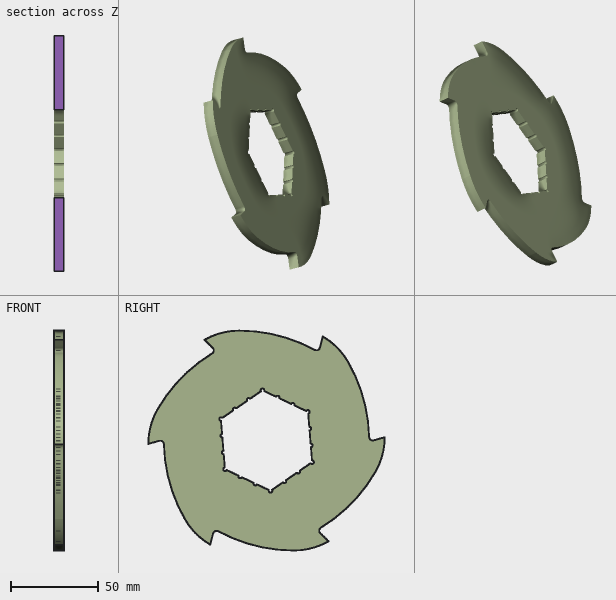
import cadquery as cq
import math

THICKNESS = 6.0
TOOTH_COUNT = 6
PITCH_ANGLE = 360 / TOOTH_COUNT

TIP_RADIUS = 67.99
FIRST_TIP_ANGLE = 58.32
RAKE_ANGLE = 14.0
CREST_ARC_RADIUS = 40.2
BACK_ARC_RADIUS = 90.7
CREST_END_RADIUS = 65.11
CREST_END_ANGLE = 17.79
GULLET_FILLET = 2.0

HEX_SIDES = 6
HEX_ACROSS_FLATS = 50.1
HEX_CORNER_ANGLE = 85.37
NOTCH_RADIUS = 1.0
NOTCHES_PER_SIDE = 3


def polar(radius, angle):
    """Vector at the given radius and angle (degrees) in the sketch plane."""
    return cq.Vector(radius * math.cos(math.radians(angle)), radius * math.sin(math.radians(angle)))


def arc_centre(start, end, radius):
    """Centre of the counter-clockwise minor arc of this radius from start to end."""
    chord = end - start
    height = math.sqrt(radius**2 - (chord.Length / 2) ** 2)
    inward = cq.Vector(-chord.y, chord.x).normalized()
    return (start + end) / 2 + inward * height


def circle_hit(start, direction, centre, radius):
    """First point where the ray from start along the unit direction meets the circle."""
    offset = start - centre
    along = offset.dot(direction)
    return start + direction * (-along - math.sqrt(along**2 - offset.Length**2 + radius**2))


def arc_middle(start, end, centre, radius):
    """Middle point of the minor arc from start to end."""
    return centre + ((start + end) / 2 - centre).normalized() * radius


def add_tooth(outline, tip_angle):
    """Continue the outline from this tip, over the tooth back, to the next tip."""
    tip = polar(TIP_RADIUS, tip_angle)
    crest_end = polar(CREST_END_RADIUS, tip_angle + CREST_END_ANGLE)
    crest_centre = arc_centre(tip, crest_end, CREST_ARC_RADIUS)
    back_centre = crest_end + (crest_centre - crest_end) * (BACK_ARC_RADIUS / CREST_ARC_RADIUS)

    next_tip_angle = tip_angle + PITCH_ANGLE
    next_tip = polar(TIP_RADIUS, next_tip_angle)
    face_direction = polar(1, next_tip_angle + 180 - RAKE_ANGLE)
    gullet = circle_hit(next_tip, face_direction, back_centre, BACK_ARC_RADIUS)

    crest_middle = arc_middle(tip, crest_end, crest_centre, CREST_ARC_RADIUS)
    back_middle = arc_middle(crest_end, gullet, back_centre, BACK_ARC_RADIUS)
    return (
        outline.threePointArc(crest_middle.toTuple()[:2], crest_end.toTuple()[:2])
        .threePointArc(back_middle.toTuple()[:2], gullet.toTuple()[:2])
        .lineTo(next_tip.x, next_tip.y)
    )


def disc_plane():
    """Sketch plane on the +X face: sketch x is -Y, sketch y is Z, and extrusion runs towards -X."""
    return cq.Workplane(cq.Plane((THICKNESS / 2, 0, 0), xDir=(0, -1, 0), normal=(-1, 0, 0)))


def is_gullet_edge(edge):
    """Gullet corners are the only outline corners lying well inside the crest ends."""
    centre = edge.Center()
    return math.hypot(centre.y, centre.z) < CREST_END_RADIUS - GULLET_FILLET


def toothed_blank():
    first_tip = polar(TIP_RADIUS, FIRST_TIP_ANGLE)
    outline = disc_plane().moveTo(first_tip.x, first_tip.y)
    for tooth in range(TOOTH_COUNT):
        outline = add_tooth(outline, FIRST_TIP_ANGLE + tooth * PITCH_ANGLE)
    blank = outline.close().extrude(THICKNESS)
    return blank.edges("|X").filter(is_gullet_edge).fillet(GULLET_FILLET)


def hex_bore():
    corner_radius = HEX_ACROSS_FLATS / 2 / math.cos(math.pi / HEX_SIDES)
    corners = []
    for side in range(HEX_SIDES):
        corners.append(polar(corner_radius, HEX_CORNER_ANGLE + side * 360 / HEX_SIDES))

    notch_points = []
    for side, corner in enumerate(corners):
        to_next = corners[(side + 1) % HEX_SIDES] - corner
        for step in range(NOTCHES_PER_SIDE):
            point = corner + to_next * (step / NOTCHES_PER_SIDE)
            notch_points.append((point.x, point.y))

    corner_points = [(corner.x, corner.y) for corner in corners]
    hexagon = disc_plane().polyline(corner_points).close().extrude(THICKNESS)
    notches = disc_plane().pushPoints(notch_points).circle(NOTCH_RADIUS).extrude(THICKNESS)
    return hexagon.union(notches)


result = toothed_blank().cut(hex_bore())